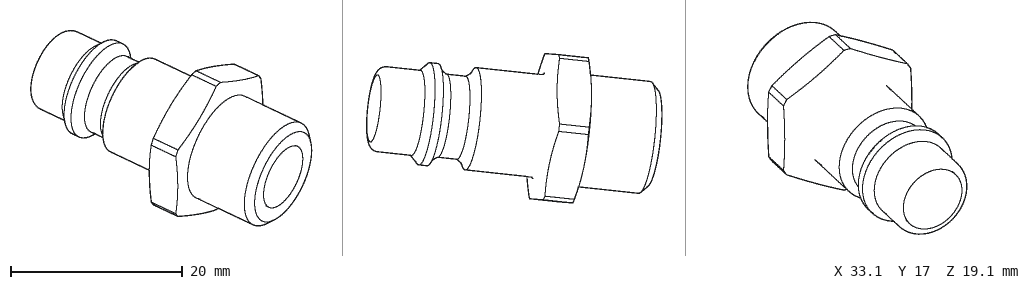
import cadquery as cq
import math

total_length = 33.1
collar_start = 5.0
collar_top_start = 6.0
collar_top_end = 7.0
groove_start = 8.1
groove_end = 10.4
shank_start = 11.52
hex_start = 20.0
hex_end = 24.1

bore_diameter = 7.85
tip_diameter = 10.0
groove_diameter = 9.75
shank_diameter = 12.0
stud_diameter = 13.15

across_flats = 17.0
across_corners = 19.15
hex_bevel_angle = 15.0

tip_round = 1.0
shank_fillet = 0.73
groove_flank_radius = 2.0
stud_chamfer = 0.85

bore_radius = bore_diameter / 2
tip_radius = tip_diameter / 2
groove_radius = groove_diameter / 2
shank_radius = shank_diameter / 2
stud_radius = stud_diameter / 2


def arc_middle(center_x, center_r, radius, angle):
    """Point on an arc of the turned profile at the given angle in degrees."""
    turn = math.radians(angle)
    return center_x + radius * math.cos(turn), center_r + radius * math.sin(turn)


def arc_sagitta(chord, radius):
    """Height of an arc of the given radius above its chord."""
    return radius - math.sqrt(radius**2 - (chord / 2) ** 2)


def make_turned_body():
    """Plug, locking collar, groove, shank and stud as one revolved profile."""
    tip_middle = arc_middle(tip_round, tip_radius - tip_round, tip_round, 135)
    fillet_middle = arc_middle(
        hex_start - shank_fillet, shank_radius + shank_fillet, shank_fillet, -45
    )
    flank_depth = shank_radius - groove_radius
    collar_flank_sagitta = arc_sagitta(
        math.hypot(groove_start - collar_top_end, flank_depth), groove_flank_radius
    )
    shank_flank_sagitta = arc_sagitta(
        math.hypot(shank_start - groove_end, flank_depth), groove_flank_radius
    )
    profile = (
        cq.Workplane("XY")
        .moveTo(0, bore_radius)
        .lineTo(0, tip_radius - tip_round)
        .threePointArc(tip_middle, (tip_round, tip_radius))
        .lineTo(collar_start, tip_radius)
        .lineTo(collar_top_start, shank_radius)
        .lineTo(collar_top_end, shank_radius)
        .sagittaArc((groove_start, groove_radius), -collar_flank_sagitta)
        .lineTo(groove_end, groove_radius)
        .sagittaArc((shank_start, shank_radius), -shank_flank_sagitta)
        .lineTo(hex_start - shank_fillet, shank_radius)
        .threePointArc(fillet_middle, (hex_start, shank_radius + shank_fillet))
        .lineTo(hex_end, shank_radius + shank_fillet)
        .lineTo(hex_end, stud_radius)
        .lineTo(total_length - stud_chamfer, stud_radius)
        .lineTo(total_length, stud_radius - stud_chamfer)
        .lineTo(total_length, bore_radius)
        .close()
    )
    return profile.revolve(360, (0, 0, 0), (1, 0, 0))


def make_hexagon():
    """Hexagon with corners on Z, turned down at the corners and beveled on both faces."""
    hex_length = hex_end - hex_start
    face_radius = across_flats / 2
    corner_radius = across_corners / 2
    bevel_length = (corner_radius - face_radius) * math.tan(math.radians(hex_bevel_angle))
    sides = 6
    sharp_corners = across_flats / math.cos(math.pi / sides)
    prism = (
        cq.Workplane("YZ")
        .workplane(offset=hex_start)
        .transformed(rotate=(0, 0, 90))
        .polygon(sides, sharp_corners)
        .extrude(hex_length)
    )
    turned_envelope = (
        cq.Workplane("XY")
        .moveTo(hex_start, 0)
        .lineTo(hex_start, face_radius)
        .lineTo(hex_start + bevel_length, corner_radius)
        .lineTo(hex_end - bevel_length, corner_radius)
        .lineTo(hex_end, face_radius)
        .lineTo(hex_end, 0)
        .close()
        .revolve(360, (0, 0, 0), (1, 0, 0))
    )
    bore = cq.Workplane("YZ").workplane(offset=hex_start).circle(bore_radius).extrude(hex_length)
    return prism.intersect(turned_envelope).cut(bore)


result = make_turned_body().union(make_hexagon())